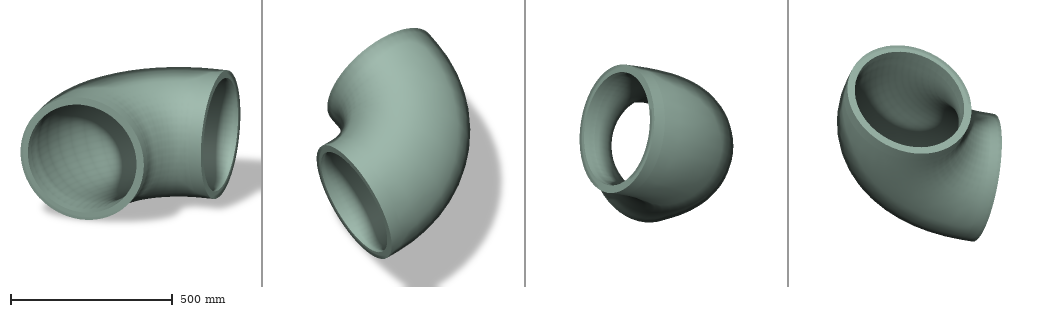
import cadquery as cq

overall_length = 540.0
outer_diameter = 400.0
bore_diameter = 352.5
collar_length = 40.0

bend_radius = overall_length - outer_diameter / 2 - collar_length
bend_angle = 90


def pipe_section(workplane):
    """Draw the ring-shaped cross-section of the pipe."""
    return workplane.circle(outer_diameter / 2).circle(bore_diameter / 2)


inlet_collar = pipe_section(cq.Workplane("XZ")).extrude(-collar_length)

bend_start = cq.Workplane("XZ", origin=(0, collar_length, 0))
bend = pipe_section(bend_start).revolve(bend_angle, (bend_radius, 5.5, 0), (bend_radius, 0, 0))

outlet_start = cq.Workplane("YZ", origin=(bend_radius, collar_length + bend_radius, 0))
outlet_collar = pipe_section(outlet_start).extrude(collar_length)

result = inlet_collar.union(bend).union(outlet_collar)